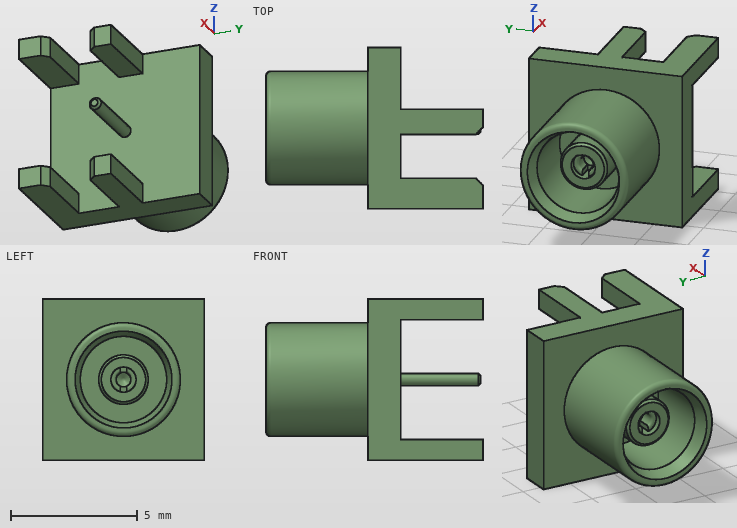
import cadquery as cq


total_length = 8.6
body_side = 6.4
barrel_length = 4.04
plate_thickness = 1.31
plate_back = barrel_length + plate_thickness

barrel_radius = 2.25
barrel_round = 0.2
mouth_radius = 1.92
bore_radius = 1.71
mouth_taper_length = 0.59
bore_depth = 3.44

insulator_radius = 0.98
insulator_bevel = 0.1
insulator_front = 1.25

contact_radius = 0.5
contact_front = 1.53
socket_radius = 0.29
socket_mouth_round = 0.11
socket_depth = 0.69
socket_cone_length = 0.17
contact_slot_width = 0.27

pin_radius = 0.25
pin_bevel = 0.1
pin_end = 8.505

leg_height = 0.83
leg_bevel = 0.29
side_leg_span = (-body_side / 2, -1.98)
middle_leg_span = (-0.26, 0.75)


def rod(radius, start, end):
    """Cylinder on the connector axis between two X positions."""
    return cq.Workplane("YZ").workplane(offset=start).circle(radius).extrude(end - start)


def revolve_profile(points):
    """Solid of revolution about the X axis from (x, radius) points."""
    return cq.Workplane("XY").polyline(points).close().revolve(360, (0, 0, 0), (1, 0, 0))


def make_shell():
    plate = cq.Workplane("XY").box(plate_thickness, body_side, body_side).translate(
        (barrel_length + plate_thickness / 2, 0, 0)
    )
    barrel = rod(barrel_radius, 0, plate_back).faces("<X").edges().fillet(barrel_round)
    bore = revolve_profile([
        (0, 0),
        (0, mouth_radius),
        (mouth_taper_length, bore_radius),
        (bore_depth, bore_radius),
        (bore_depth, 0),
    ])
    return plate.union(barrel).cut(bore)


def make_insulator():
    insulator = rod(insulator_radius, insulator_front, plate_back)
    insulator = insulator.faces("<X").chamfer(insulator_bevel)
    return insulator.cut(rod(contact_radius, insulator_front, plate_back))


def make_contact():
    contact = rod(contact_radius, contact_front, plate_back)
    socket_floor = contact_front + socket_depth
    contact = contact.cut(rod(socket_radius, contact_front, socket_floor))
    contact = contact.faces("<X").edges(cq.selectors.RadiusNthSelector(0))
    contact = contact.fillet(socket_mouth_round)
    drill_point = revolve_profile([
        (socket_floor, 0),
        (socket_floor, socket_radius),
        (socket_floor + socket_cone_length, 0),
    ])
    slot = cq.Workplane("XY").box(socket_depth, contact_slot_width, 2 * contact_radius)
    slot = slot.translate((contact_front + socket_depth / 2, 0, 0))
    return contact.cut(drill_point).cut(slot)


def make_leg(span, bevel_edge, side):
    """Leg along X at the top (side = 1) or bottom (side = -1), bevelled at one end corner."""
    low, high = span
    length = total_length - barrel_length
    leg = cq.Workplane("XY").box(length, high - low, leg_height)
    leg = leg.faces(">X").edges(bevel_edge).chamfer(leg_bevel)
    center_z = side * (body_side - leg_height) / 2
    return leg.translate((barrel_length + length / 2, (low + high) / 2, center_z))


def make_pin():
    return rod(pin_radius, barrel_length, pin_end).faces(">X").chamfer(pin_bevel)


result = make_shell().union(make_insulator()).union(make_contact()).union(make_pin())
for side in (1, -1):
    result = result.union(make_leg(side_leg_span, ">Y", side))
    result = result.union(make_leg(middle_leg_span, "<Y", side))